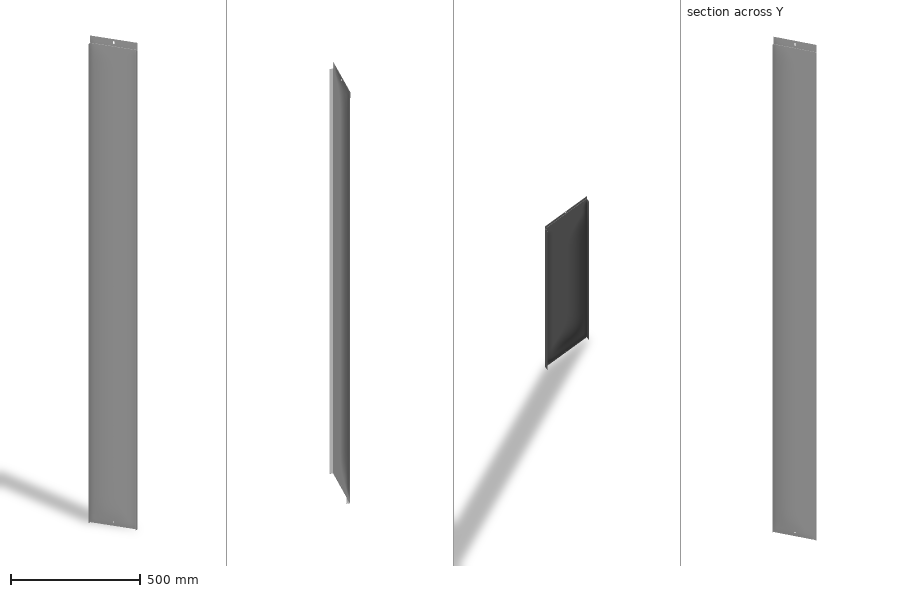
import cadquery as cq

length = 1999.0
width = 202.0
depth = 15.4
sheet = 1.0
flange_top = 1970.0
hole_diameter = 5.0
hole_height = 15.0
slot_width = 7.0
slot_length = 12.0
slot_height = 1985.0

front = -depth / 2
tab_back = depth / 2
tab_front = tab_back - sheet
plate_back = tab_front
plate_front = plate_back - sheet
step_top = flange_top + sheet


def make_web():
    """Flat plate with a tab stepped backward by one sheet along its top edge."""
    return (
        cq.Workplane("YZ")
        .moveTo(plate_front, 0)
        .lineTo(plate_back, 0)
        .lineTo(plate_back, flange_top)
        .lineTo(tab_back, step_top)
        .lineTo(tab_back, length)
        .lineTo(tab_front, length)
        .lineTo(tab_front, step_top)
        .lineTo(plate_front, flange_top)
        .close()
        .extrude(width / 2, both=True)
    )


def make_flange(side):
    """Side flange standing forward from the plate; side is -1 or 1."""
    flange_depth = plate_back - front
    flange = cq.Workplane("XY").box(sheet, flange_depth, flange_top, centered=(True, False, False))
    return flange.translate((side * (width - sheet) / 2, front, 0))


def make_cutters():
    """Round hole near the bottom edge and upright slot in the tab, both on the centre line."""
    face = cq.Workplane("XZ", origin=(0, depth, 0))
    hole = face.center(0, hole_height).circle(hole_diameter / 2).extrude(2 * depth)
    slot = face.center(0, slot_height).slot2D(slot_length, slot_width, 90).extrude(2 * depth)
    return hole.union(slot)


result = make_web()
for side in (-1, 1):
    result = result.union(make_flange(side))
result = result.cut(make_cutters())